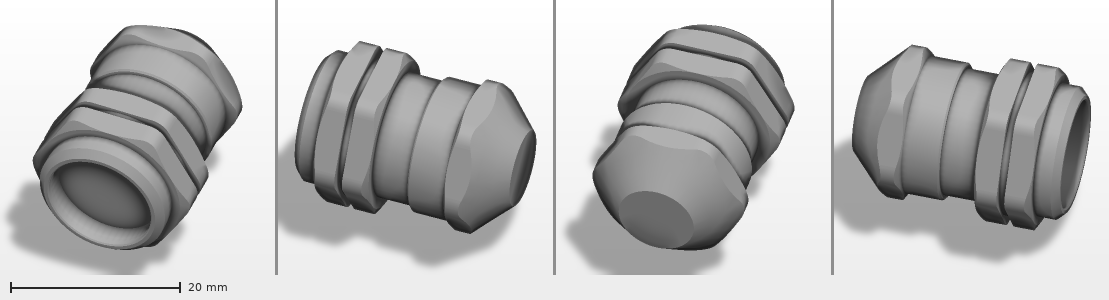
import cadquery as cq
import math


total_length = 26.0
end_collar_length = 3.02
nut_thickness = 3.0
ring_gap = 0.95
neck_length = 4.52
sleeve_length = 4.52

end_collar_diameter = 16.0
ring_crest_diameter = 17.2
neck_diameter = 15.2
sleeve_diameter = 16.5
cap_tip_diameter = 9.28

end_chamfer = 0.88
sleeve_chamfer = 0.2

ring_bulge_radius = 0.95
ring_crest_setback = 0.23

bore_diameter = 13.0
bore_depth = end_collar_length
bore_mouth_chamfer = 0.15

nut_across_flats = 18.0
nut_corner_radius = 2.45
cap_across_flats = 17.03
cap_corner_radius = 3.0
hex_chamfer_angle = 30.0
cap_cone_angle = 45.0

front_nut_start = end_collar_length
ring_start = front_nut_start + nut_thickness
rear_nut_start = ring_start + ring_gap
neck_start = rear_nut_start + nut_thickness
sleeve_start = neck_start + neck_length
cap_start = sleeve_start + sleeve_length


def revolve_profile(points):
    """Turn an outline of (radius, Y) points about the Y axis."""
    return cq.Workplane("XY").polyline(points).close().revolve(360, (0, 0, 0), (0, 1, 0))


def cylinder(diameter, start, length):
    """Solid cylinder along +Y from the given station."""
    return cq.Workplane("XZ", origin=(0, start, 0)).circle(diameter / 2).extrude(-length)


def hexagon(across_flats, corner_radius, start, length):
    """Hexagonal prism along +Y with rounded corners pointing to +X and -X."""
    across_corners = across_flats / math.cos(math.radians(30))
    prism = cq.Workplane("XZ", origin=(0, start, 0)).polygon(6, across_corners).extrude(-length)
    return prism.edges("|Y").fillet(corner_radius)


def chamfer_rise(face_radius, outer_radius):
    """Axial height of the conical hexagon chamfer between two radii."""
    return (outer_radius - face_radius) * math.tan(math.radians(hex_chamfer_angle))


def nut(start, chamfer_at_start):
    """Hexagon nut with a conical chamfer on one end face."""
    end = start + nut_thickness
    face_radius = nut_across_flats / 2
    outer_radius = nut_across_flats / math.sqrt(3)
    rise = chamfer_rise(face_radius, outer_radius)
    if chamfer_at_start:
        chamfered_face, plain_face, chamfer_base = start, end, start + rise
    else:
        chamfered_face, plain_face, chamfer_base = end, start, end - rise
    envelope = revolve_profile([
        (0, chamfered_face),
        (face_radius, chamfered_face),
        (outer_radius, chamfer_base),
        (outer_radius, plain_face),
        (0, plain_face),
    ])
    return hexagon(nut_across_flats, nut_corner_radius, start, nut_thickness).intersect(envelope)


def cap_nut():
    """Hexagon cap: a prism cut by a long cone behind and a short chamfer that meets the sleeve."""
    length = total_length - cap_start
    tip_radius = cap_tip_diameter / 2
    face_radius = sleeve_diameter / 2
    outer_radius = cap_across_flats / math.sqrt(3)
    cone_length = (outer_radius - tip_radius) / math.tan(math.radians(cap_cone_angle))
    envelope = revolve_profile([
        (0, cap_start),
        (face_radius, cap_start),
        (outer_radius, cap_start + chamfer_rise(face_radius, outer_radius)),
        (outer_radius, total_length - cone_length),
        (tip_radius, total_length),
        (0, total_length),
    ])
    return hexagon(cap_across_flats, cap_corner_radius, cap_start, length).intersect(envelope)


def sealing_ring():
    """Ring with a convex arc for its outer face, crested close to the rear nut."""
    crest_radius = ring_crest_diameter / 2
    crest_y = rear_nut_start - ring_crest_setback

    def arc_point(y):
        bulge = math.sqrt(ring_bulge_radius ** 2 - (y - crest_y) ** 2)
        return (crest_radius - ring_bulge_radius + bulge, y)

    outline = (
        cq.Workplane("XY")
        .moveTo(0, ring_start)
        .lineTo(*arc_point(ring_start))
        .threePointArc(arc_point(crest_y), arc_point(rear_nut_start))
        .lineTo(0, rear_nut_start)
        .close()
    )
    return outline.revolve(360, (0, 0, 0), (0, 1, 0))


def bore():
    """Blind recess entering from the open end, widened at its mouth."""
    radius = bore_diameter / 2
    return revolve_profile([
        (0, 0),
        (radius + bore_mouth_chamfer, 0),
        (radius, bore_mouth_chamfer),
        (radius, bore_depth),
        (0, bore_depth),
    ])


end_collar = cylinder(end_collar_diameter, 0, end_collar_length).faces("<Y").chamfer(end_chamfer)
front_nut = nut(front_nut_start, chamfer_at_start=True)
rear_nut = nut(rear_nut_start, chamfer_at_start=False)
neck = cylinder(neck_diameter, neck_start, neck_length)
sleeve = cylinder(sleeve_diameter, sleeve_start, sleeve_length).faces("<Y").chamfer(sleeve_chamfer)

result = end_collar
for section in (front_nut, sealing_ring(), rear_nut, neck, sleeve, cap_nut()):
    result = result.union(section)
result = result.cut(bore())